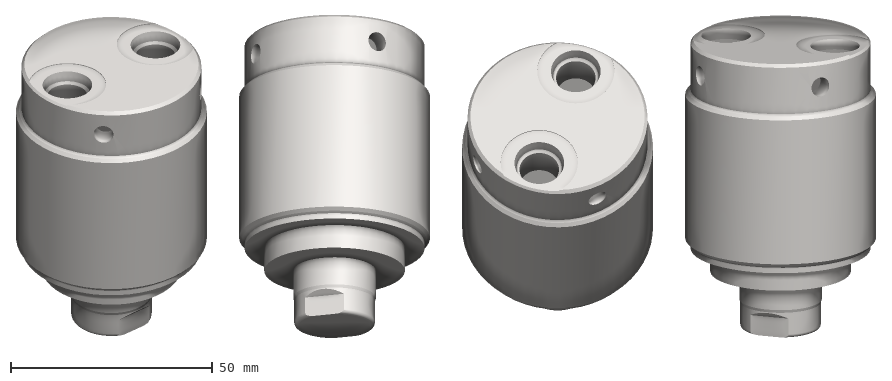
import cadquery as cq

height = 74.3
body_radius = 23.7
collar_radius = 22.4
flange_radius = 17.45
neck_radius = 10.25
tip_radius = 10.0

neck_top = 14.5
flange_top = 20.4
body_bottom = 21.85
body_top = 61.6
neck_bottom = 7.35
tip_top = 6.6

top_chamfer = 0.75
body_chamfer_height = 0.8
body_chamfer_width = 0.75
shoulder_height = 0.45
tip_rounding = 1.0

flat_distance = 8.7
flat_height = 5.05

port_offset = 14.3
spotface_radius = 9.6
spotface_depth = 0.2
port_radius = 6.2
port_depth = 2.75
seat_radius = 5.65
seat_depth = 0.5
bore_radius = 4.9
bore_depth = 11.15

radial_hole_count = 4
first_hole_angle = 45.0
radial_hole_radius = 2.45
radial_hole_height = 67.9
radial_hole_depth = 5.05


def make_body():
    """Round body revolved about Z, with sloped shoulders next to both body chamfers."""
    body_edge_radius = body_radius - body_chamfer_width
    chamfer_bottom = body_bottom + shoulder_height
    chamfer_top = body_top - shoulder_height
    profile = (
        cq.Workplane("XZ")
        .lineTo(tip_radius, 0)
        .lineTo(tip_radius, tip_top)
        .lineTo(neck_radius, neck_bottom)
        .lineTo(neck_radius, neck_top)
        .lineTo(flange_radius, neck_top)
        .lineTo(flange_radius, flange_top)
        .lineTo(collar_radius, flange_top)
        .lineTo(collar_radius, body_bottom)
        .lineTo(body_edge_radius, chamfer_bottom)
        .lineTo(body_radius, chamfer_bottom + body_chamfer_height)
        .lineTo(body_radius, chamfer_top - body_chamfer_height)
        .lineTo(body_edge_radius, chamfer_top)
        .lineTo(collar_radius, body_top)
        .lineTo(collar_radius, height - top_chamfer)
        .lineTo(collar_radius - top_chamfer, height)
        .lineTo(0, height)
        .close()
    )
    body = profile.revolve(360, (0, 0, 0), (0, 1, 0))
    return body.faces("<Z").edges().fillet(tip_rounding)


def make_flat_cutter(side):
    """Wedge that cuts one wrench flat, ending in a 45 degree runout."""
    runout = neck_radius - flat_distance
    return (
        cq.Workplane("XZ")
        .moveTo(side * flat_distance, 0)
        .lineTo(side * flat_distance, flat_height)
        .lineTo(side * neck_radius, flat_height + runout)
        .lineTo(side * neck_radius, 0)
        .close()
        .extrude(neck_radius, both=True)
    )


def make_port_cutter(side):
    """Spotfaced port with a tapered seat above a blind bore."""
    seat_top = height - port_depth
    seat_bottom = seat_top - seat_depth
    spotface_floor = height - spotface_depth
    bore_floor = height - bore_depth
    return (
        cq.Workplane("XZ")
        .moveTo(0, bore_floor)
        .lineTo(bore_radius, bore_floor)
        .lineTo(bore_radius, seat_bottom)
        .lineTo(seat_radius, seat_top)
        .lineTo(port_radius, spotface_floor)
        .lineTo(spotface_radius, spotface_floor)
        .lineTo(spotface_radius, height)
        .lineTo(0, height)
        .close()
        .revolve(360, (0, 0, 0), (0, 1, 0))
        .translate((0, side * port_offset, 0))
    )


def make_radial_hole_cutter(angle):
    """Blind hole drilled toward the axis through the collar wall."""
    hole_floor = collar_radius - radial_hole_depth
    return (
        cq.Workplane("YZ", origin=(hole_floor, 0, radial_hole_height))
        .circle(radial_hole_radius)
        .extrude(body_radius - hole_floor)
        .rotate((0, 0, 0), (0, 0, 1), angle)
    )


result = make_body()
for side in (-1, 1):
    result = result.cut(make_flat_cutter(side))
    result = result.cut(make_port_cutter(side))
for index in range(radial_hole_count):
    hole_angle = first_hole_angle + index * 360 / radial_hole_count
    result = result.cut(make_radial_hole_cutter(hole_angle))